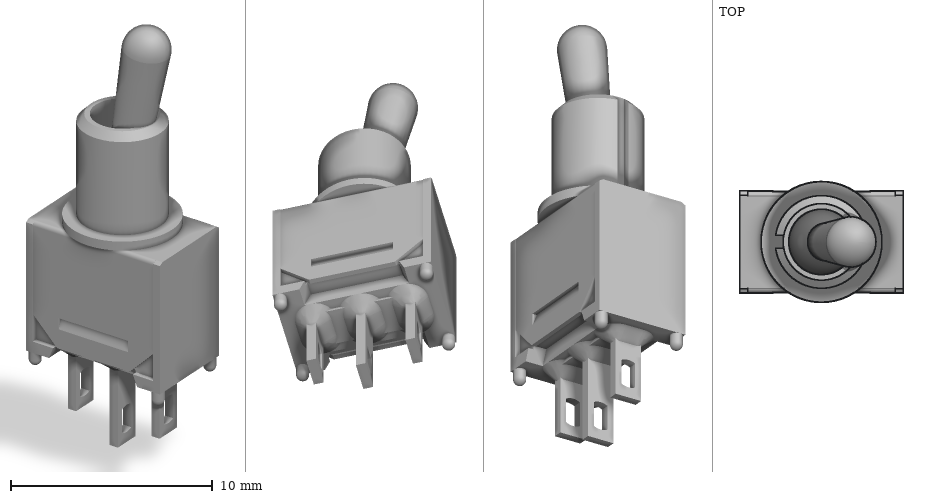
import cadquery as cq
import math


housing_length = 8.13
housing_width = 5.08
housing_height = 7.32
corner_bevel_drop = 0.13
corner_bevel_inset = 0.22

panel_half_length = 3.66
panel_thickness = 0.25
panel_setback = 0.03
panel_bottom = 0.69
panel_corner = 1.46
panel_top_round = 0.22
ledge_height = 0.63

slot_length = 4.2
slot_bottom = 1.77
slot_top = 2.4

relief_bottom_half = 2.68
relief_top_half = 2.35
relief_height = 0.8
relief_depth = 1.0

flange_diameter = 6.0
flange_thickness = 0.5
bushing_diameter = 4.6
bushing_top = 13.43
bushing_chamfer = 0.4
bore_diameter = 3.25
keyway_width = 0.65
keyway_depth = 0.4

lever_tilt = 10.0
lever_top = 18.71
lever_tip_radius = 1.25
lever_root_radius = 0.88
pivot_height = 9.2

terminal_pitch = 2.54
terminal_thickness = 0.5
terminal_width = 1.5
outer_terminal_length = 3.63
middle_terminal_length = 4.9
terminal_embed = 0.5
eye_width = 0.8
eye_end_margin = 0.56
eye_length = 1.52
eye_bulge = 0.1

seal_height = 0.64
seal_base_half_x = 1.2
seal_base_half_y = 1.55
seal_outer_shift = 0.17
seal_web_height = 0.16
seal_web_width = 2.0

peg_diameter = 0.65
peg_straight_length = 0.48

half_width = housing_width / 2
flange_top = housing_height + flange_thickness
peg_radius = peg_diameter / 2
panel_face = half_width - panel_setback
panel_back = panel_face - panel_thickness


def plate_from_front(outline, depth_face, depth_back):
    """Extrude an XZ outline between two distances from the middle, on the -Y side."""
    return outline(cq.Workplane("XZ", origin=(0, -depth_back, 0))).extrude(depth_face - depth_back)


def on_both_sides(shape):
    """Join a shape on the -Y side with its mirror image on the +Y side."""
    return shape.union(shape.mirror("XZ"))


def make_housing():
    half_top = half_width - corner_bevel_inset
    bevel_start = housing_height - corner_bevel_drop
    section = [
        (-half_width, 0),
        (half_width, 0),
        (half_width, bevel_start),
        (half_top, housing_height),
        (-half_top, housing_height),
        (-half_width, bevel_start),
    ]
    block = cq.Workplane("YZ", origin=(-housing_length / 2, 0, 0)).polyline(section).close()
    block = block.extrude(housing_length)

    window_height = housing_height - ledge_height
    window = plate_from_front(
        lambda plane: plane.center(0, ledge_height + window_height / 2).rect(
            2 * panel_half_length, window_height
        ),
        half_width,
        panel_back,
    )
    relief = plate_from_front(
        lambda plane: plane.polyline(
            [
                (-relief_bottom_half, 0),
                (relief_bottom_half, 0),
                (relief_top_half, relief_height),
                (-relief_top_half, relief_height),
            ]
        ).close(),
        half_width,
        half_width - relief_depth,
    )
    return block.cut(on_both_sides(window)).cut(on_both_sides(relief))


def make_panel():
    bottom_half = panel_half_length - panel_corner
    outline = [
        (-bottom_half, panel_bottom),
        (bottom_half, panel_bottom),
        (panel_half_length, panel_bottom + panel_corner),
        (panel_half_length, housing_height),
        (-panel_half_length, housing_height),
        (-panel_half_length, panel_bottom + panel_corner),
    ]
    panel = plate_from_front(lambda plane: plane.polyline(outline).close(), panel_face, panel_back)

    round_centre_y = -panel_face + panel_top_round
    round_start = housing_height - panel_top_round
    diagonal = panel_top_round * math.sqrt(0.5)
    edge_waste = (
        cq.Workplane("YZ", origin=(-panel_half_length, 0, 0))
        .moveTo(-panel_face, round_start)
        .threePointArc(
            (round_centre_y - diagonal, round_start + diagonal),
            (round_centre_y, housing_height),
        )
        .lineTo(-panel_face, housing_height)
        .close()
        .extrude(2 * panel_half_length)
    )

    louvre = (
        cq.Workplane("YZ", origin=(-slot_length / 2, 0, 0))
        .polyline([(-panel_face, slot_bottom), (-panel_face, slot_top), (-panel_back, slot_top)])
        .close()
        .extrude(slot_length)
    )
    return panel.cut(edge_waste).cut(louvre)


def make_bushing():
    """Flange and bushing turned in one profile, with the ball closing the bore."""
    flange_radius = flange_diameter / 2
    outer_radius = bushing_diameter / 2
    ball_radius = bore_diameter / 2
    diagonal = ball_radius * math.sqrt(0.5)
    bushing = (
        cq.Workplane("XZ")
        .moveTo(0, housing_height)
        .lineTo(flange_radius, housing_height)
        .lineTo(flange_radius, flange_top)
        .lineTo(outer_radius, flange_top)
        .lineTo(outer_radius, bushing_top - bushing_chamfer)
        .lineTo(outer_radius - bushing_chamfer, bushing_top)
        .lineTo(ball_radius, bushing_top)
        .lineTo(ball_radius, pivot_height)
        .threePointArc((diagonal, pivot_height + diagonal), (0, pivot_height + ball_radius))
        .close()
        .revolve(360, (0, 0, 0), (0, 1, 0))
    )
    keyway = cq.Workplane("XY", origin=(-outer_radius, 0, flange_top)).box(
        2 * keyway_depth, keyway_width, bushing_top - flange_top, centered=(True, True, False)
    )
    return bushing.cut(keyway)


def make_lever():
    """Tapered round lever with a hemispherical tip, leaning toward +X about the pivot."""
    tip_centre_height = lever_top - lever_tip_radius
    length = (tip_centre_height - pivot_height) / math.cos(math.radians(lever_tilt))
    diagonal = lever_tip_radius * math.sqrt(0.5)
    upright = (
        cq.Workplane("XZ")
        .lineTo(lever_root_radius, 0)
        .lineTo(lever_tip_radius, length)
        .threePointArc((diagonal, length + diagonal), (0, length + lever_tip_radius))
        .close()
        .revolve(360, (0, 0, 0), (0, 1, 0))
    )
    return upright.rotate((0, 0, 0), (0, 1, 0), lever_tilt).translate((0, 0, pivot_height))


def make_terminal(x, length):
    blade = cq.Workplane("XY", origin=(x, 0, -length)).box(
        terminal_thickness, terminal_width, length + terminal_embed, centered=(True, True, False)
    )
    half_eye = eye_width / 2
    eye_bottom = -length + eye_end_margin
    eye_top = eye_bottom + eye_length
    eye = (
        cq.Workplane("YZ", origin=(x - terminal_thickness / 2, 0, 0))
        .moveTo(-half_eye, eye_bottom + eye_bulge)
        .threePointArc((0, eye_bottom), (half_eye, eye_bottom + eye_bulge))
        .lineTo(half_eye, eye_top - eye_bulge)
        .threePointArc((0, eye_top), (-half_eye, eye_top - eye_bulge))
        .close()
        .extrude(terminal_thickness)
    )
    return blade.cut(eye)


def make_seal(x, base_half_x, base_shift):
    """Round-ended mound tapering down onto one terminal."""
    return (
        cq.Workplane("XY", origin=(x, 0, -seal_height))
        .slot2D(terminal_width, terminal_thickness, 90)
        .workplane(offset=seal_height)
        .center(base_shift, 0)
        .slot2D(2 * seal_base_half_y, 2 * base_half_x, 90)
        .loft()
    )


def make_peg(x, y):
    diagonal = peg_radius * math.sqrt(0.5)
    peg = (
        cq.Workplane("XZ")
        .lineTo(peg_radius, 0)
        .lineTo(peg_radius, -peg_straight_length)
        .threePointArc(
            (diagonal, -peg_straight_length - diagonal),
            (0, -peg_straight_length - peg_radius),
        )
        .close()
        .revolve(360, (0, 0, 0), (0, 1, 0))
    )
    return peg.translate((x, y, 0))


result = make_housing().union(on_both_sides(make_panel()))
result = result.union(make_bushing()).union(make_lever())

seal_web = cq.Workplane("XY", origin=(0, 0, -seal_web_height)).box(
    2 * terminal_pitch, seal_web_width, seal_web_height, centered=(True, True, False)
)
result = result.union(seal_web)

for side in (-1, 0, 1):
    terminal_x = side * terminal_pitch
    terminal_length = outer_terminal_length if side else middle_terminal_length
    outer_shift = seal_outer_shift if side else 0
    result = result.union(make_seal(terminal_x, seal_base_half_x - outer_shift, -side * outer_shift))
    result = result.union(make_terminal(terminal_x, terminal_length))

for x_side in (-1, 1):
    for y_side in (-1, 1):
        peg_x = x_side * (housing_length / 2 - peg_radius)
        peg_y = y_side * (half_width - peg_radius)
        result = result.union(make_peg(peg_x, peg_y))